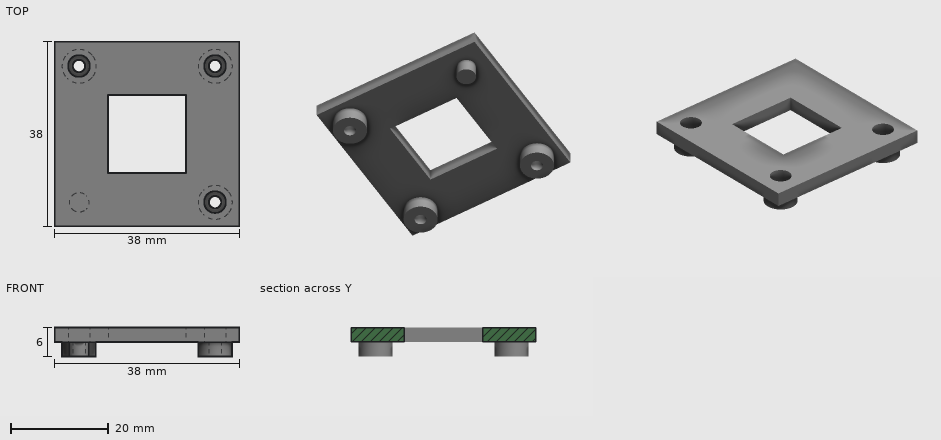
import cadquery as cq

plate_side = 38.0
plate_thickness = 3.0
window_side = 16.0

corner_spacing = 28.0
corner_offset = corner_spacing / 2
boss_positions = [
    (-corner_offset, corner_offset),
    (corner_offset, corner_offset),
    (corner_offset, -corner_offset),
]
pin_position = (-corner_offset, -corner_offset)
standoff_height = 3.0
boss_diameter = 7.0
pin_diameter = 4.0

screw_hole_diameter = 2.5
counterbore_diameter = 4.5
counterbore_depth = 3.0


def make_plate():
    """Square plate with the square window cut through it."""
    return (
        cq.Workplane("XY")
        .rect(plate_side, plate_side)
        .rect(window_side, window_side)
        .extrude(plate_thickness)
    )


def make_standoffs(positions, diameter):
    """Cylinders hanging below the plate at the given positions."""
    return (
        cq.Workplane("XY")
        .pushPoints(positions)
        .circle(diameter / 2)
        .extrude(-standoff_height)
    )


def cut_screw_holes(body):
    """Counterbored holes through the plate and the bosses."""
    return (
        body.faces(">Z")
        .workplane(origin=(0, 0, plate_thickness))
        .pushPoints(boss_positions)
        .cboreHole(screw_hole_diameter, counterbore_diameter, counterbore_depth)
    )


bosses = make_standoffs(boss_positions, boss_diameter)
locating_pin = make_standoffs([pin_position], pin_diameter)
result = cut_screw_holes(make_plate().union(bosses).union(locating_pin))